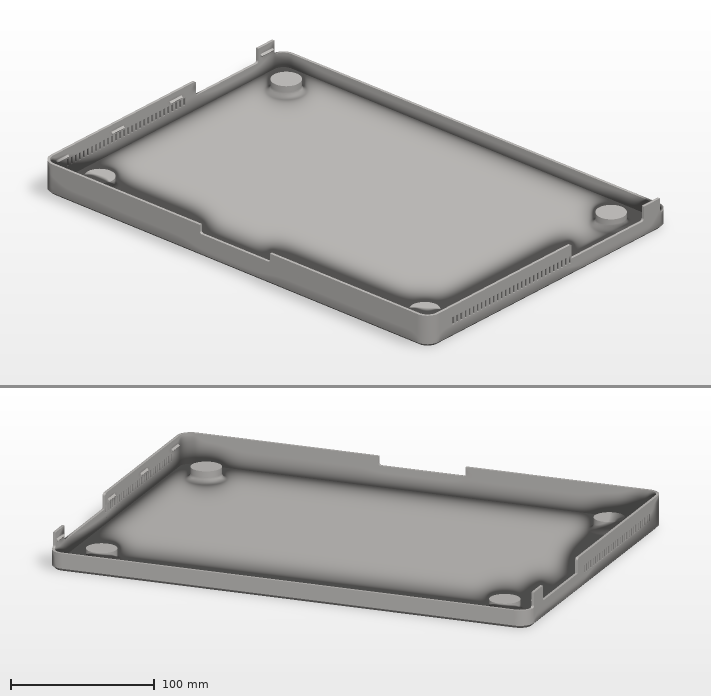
import cadquery as cq
length = 360.0
width = 252.5
height = 24.5
corner_radius = 10.5
wall = 2.0
floor = wall
bottom_chamfer = 2.0
back_corner_start = width / 2 - corner_radius

low_rim = 13.5
notch_width = 65.0
front_notch_depth = 7.0
notch_radius = 1.8
tab_front = 99.0
left_notch_start = 34.0
right_notch_start = 23.5

margin = 3.5

slot_count = 30
slot_width = 2.0
slot_height = 5.8
slot_span = 124.0
slot_center_y = -39.2
slot_bottom = 10.0
slot_pitch = (slot_span - slot_width) / (slot_count - 1)

ridge_length = 12.5
ridge_reach = 1.3
ridge_height = 18.0
ridge_centers_y = (107.5, 12.2, -48.5, -106.5)

pad_diameter = 22.0
pad_height = 8.5
pad_fillet = 4.0
pad_spacing_x = 301.5
pad_spacing_y = 195.0


def block(x_range, y_range, z_range):
    """Axis-aligned box between the given limits."""
    return cq.Workplane("XY").box(
        x_range[1] - x_range[0],
        y_range[1] - y_range[0],
        z_range[1] - z_range[0],
        centered=False,
    ).translate((x_range[0], y_range[0], z_range[0]))


def tray():
    """Open tray with rounded corners and a chamfered underside."""
    outer = cq.Workplane("XY").rect(length, width).extrude(height)
    outer = outer.edges("|Z").fillet(corner_radius)
    outer = outer.faces("<Z").edges().chamfer(bottom_chamfer)
    inner = (
        cq.Workplane("XY")
        .workplane(offset=floor)
        .rect(length - 2 * wall, width - 2 * wall)
        .extrude(height)
        .edges("|Z")
        .fillet(corner_radius - wall)
    )
    return outer.cut(inner)


def pads():
    """Four round pads, each flaring into the floor through a fillet."""
    side = pad_diameter / 2
    profile = (
        cq.Workplane("XZ")
        .moveTo(0, floor / 2)
        .lineTo(side + pad_fillet, floor / 2)
        .lineTo(side + pad_fillet, floor)
        .radiusArc((side, floor + pad_fillet), pad_fillet)
        .lineTo(side, floor + pad_height)
        .lineTo(0, floor + pad_height)
        .close()
    )
    pad = profile.revolve(360, (0, 0, 0), (0, 1, 0)).val()
    places = cq.Workplane("XY").rect(pad_spacing_x, pad_spacing_y, forConstruction=True).vertices()
    return places.eachpoint(lambda place: pad.moved(place), combine=False)


def front_notch():
    """Shallow central notch in the front rim."""
    half = notch_width / 2
    cutter = block(
        (-half, half),
        (-width / 2 - margin, -width / 2 + corner_radius),
        (height - front_notch_depth, height + margin),
    )
    return cutter.faces("<Z").edges("|Y").fillet(notch_radius)


def side_notch(start, wall_x):
    """Deep notch in a side wall, leaving a narrow tab beside the back corner."""
    cutter = block(
        (wall_x - corner_radius, wall_x + corner_radius),
        (start, tab_front),
        (low_rim, height + margin),
    )
    return cutter.faces("<Z").edges(">Y").fillet(notch_radius)


def back_cut():
    """Lowers the back wall together with both back corners."""
    cutter = block(
        (-length / 2 - margin, length / 2 + margin),
        (back_corner_start, width / 2 + margin),
        (low_rim, height + margin),
    )
    return cutter.faces("<Z").edges("<Y").fillet(notch_radius)


def step_rounding(start, wall_x):
    """Sliver that rounds the top corner of the step at the front end of a side notch."""
    return (
        cq.Workplane("YZ")
        .workplane(offset=wall_x - corner_radius)
        .moveTo(start, height - notch_radius)
        .radiusArc((start - notch_radius, height), -notch_radius)
        .lineTo(start, height)
        .close()
        .extrude(2 * corner_radius)
    )


def vent_slots():
    """Row of upright slots passing through the left and right walls."""
    return (
        cq.Workplane("YZ")
        .center(slot_center_y, slot_bottom + slot_height / 2)
        .rarray(slot_pitch, 3.5, slot_count, 1)
        .rect(slot_width, slot_height)
        .extrude(length, both=True)
    )


def snap_ridges(side):
    """Triangular ridges on the inner face of one side wall (side is -1 or 1)."""
    face = side * (length / 2 - wall)
    root = side * (length / 2 - wall / 2)
    tip = face - side * ridge_reach
    profile = [
        (root, ridge_height - ridge_reach),
        (face, ridge_height - ridge_reach),
        (tip, ridge_height),
        (face, ridge_height + ridge_reach),
        (root, ridge_height + ridge_reach),
    ]
    ridge = cq.Workplane("XZ").polyline(profile).close().extrude(ridge_length / 2, both=True).val()
    places = cq.Workplane("XY").pushPoints([(0, y) for y in ridge_centers_y])
    return places.eachpoint(lambda place: ridge.moved(place), combine=False)


cutters = (
    front_notch(),
    side_notch(left_notch_start, -length / 2),
    side_notch(right_notch_start, length / 2),
    step_rounding(left_notch_start, -length / 2),
    step_rounding(right_notch_start, length / 2),
    back_cut(),
    vent_slots(),
)

result = tray()
for cutter in cutters:
    result = result.cut(cutter)
result = result.union(pads()).union(snap_ridges(-1)).union(snap_ridges(1))